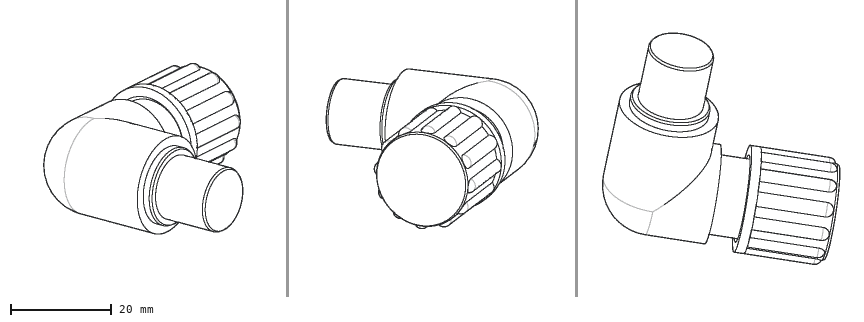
import cadquery as cq

overall_x = 42.75
overall_y = 46
flange_radius = 21.5 / 2

elbow_radius = 20.0 / 2
x_arm_length = 18.0
y_arm_length = 12.0
neck_radius = 16.0 / 2
neck_insertion = 8.0

chamfer_length = 0.5
chamfer_depth = 0.28

collar_radius = neck_radius
collar_length = 2.0
spigot_radius = 13.15 / 2
spigot_length = overall_x - flange_radius - x_arm_length - collar_length

nut_start = 18.0
nut_length = overall_y - elbow_radius - nut_start
flange_length = 2.0
grip_radius = 19.5 / 2
mouth_chamfer = 0.75
rib_count = 12
rib_radius = 1.5
rib_first_angle = 4.0
rib_dome_inset = 0.5


def y_cylinder(radius, start, length):
    """Cylinder on the Y axis, running towards +Y from start."""
    plane = cq.Plane(origin=(0, start, 0), xDir=(1, 0, 0), normal=(0, 1, 0))
    return cq.Workplane(plane).circle(radius).extrude(length)


def x_cylinder(radius, start, length):
    """Cylinder on the X axis, running towards +X from start."""
    return cq.Workplane("YZ", origin=(start, 0, 0)).circle(radius).extrude(length)


def make_elbow():
    """Two arms with a ball at the outer corner and a neck on the Y arm."""
    ball = cq.Workplane("XY").sphere(elbow_radius)
    x_arm = x_cylinder(elbow_radius, 0, x_arm_length)
    y_arm = y_cylinder(elbow_radius, 0, y_arm_length)
    neck_length = nut_start + neck_insertion - y_arm_length
    neck = y_cylinder(neck_radius, y_arm_length, neck_length)
    return x_arm.union(y_arm).union(ball).union(neck)


def make_connector():
    """Collar and spigot, turned about X, each with a chamfered free end."""
    collar_end = x_arm_length + collar_length
    spigot_end = collar_end + spigot_length
    profile = [
        (x_arm_length, 0),
        (x_arm_length, collar_radius),
        (collar_end - chamfer_length, collar_radius),
        (collar_end, collar_radius - chamfer_depth),
        (collar_end, spigot_radius),
        (spigot_end - chamfer_length, spigot_radius),
        (spigot_end, spigot_radius - chamfer_depth),
        (spigot_end, 0),
    ]
    return cq.Workplane("XY").polyline(profile).close().revolve(360, (0, 0, 0), (1, 0, 0))


def make_nut_blank():
    """Solid flange and grip, turned about Y."""
    nut_end = nut_start + nut_length
    flange_end = nut_start + flange_length
    profile = [
        (0, nut_start),
        (flange_radius, nut_start),
        (flange_radius, flange_end),
        (grip_radius, flange_end),
        (grip_radius, nut_end - chamfer_length),
        (grip_radius - chamfer_depth, nut_end),
        (0, nut_end),
    ]
    return cq.Workplane("XY").polyline(profile).close().revolve(360, (0, 0, 0), (0, 1, 0))


def make_recess():
    """Space for the neck inside the nut, with a flared mouth."""
    recess_end = nut_start + neck_insertion
    profile = [
        (0, nut_start),
        (neck_radius + mouth_chamfer, nut_start),
        (neck_radius, nut_start + mouth_chamfer),
        (neck_radius, recess_end),
        (0, recess_end),
    ]
    return cq.Workplane("XY").polyline(profile).close().revolve(360, (0, 0, 0), (0, 1, 0))


def make_rib(angle):
    """Round grip rib with a domed end, flush with the flange at its outermost line."""
    centre_radius = flange_radius - rib_radius
    rib_start = nut_start + flange_length
    dome_centre = nut_start + nut_length - rib_dome_inset - rib_radius
    shaft = y_cylinder(rib_radius, rib_start, dome_centre - rib_start)
    dome = cq.Workplane("XY").sphere(rib_radius).translate((0, dome_centre, 0))
    rib = shaft.union(dome).translate((0, 0, centre_radius))
    return rib.rotate((0, 0, 0), (0, 1, 0), -angle)


def make_nut():
    """Nut blank with evenly spaced grip ribs, opened up for the neck."""
    nut = make_nut_blank()
    for index in range(rib_count):
        nut = nut.union(make_rib(rib_first_angle + index * 360 / rib_count))
    return nut.cut(make_recess())


elbow = make_elbow()
connector = make_connector()
nut = make_nut()

result = cq.Compound.makeCompound([elbow.solids().val(), connector.val(), nut.solids().val()])